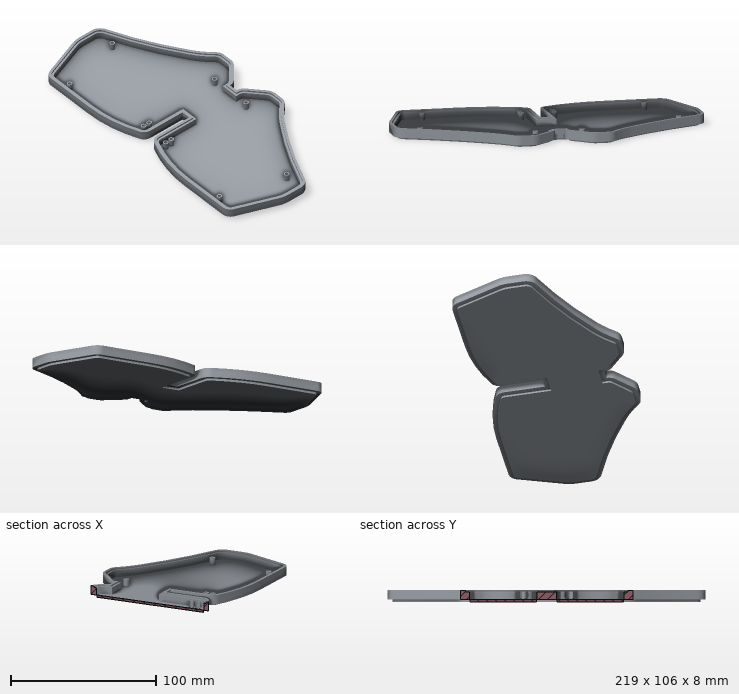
import cadquery as cq

TOTAL_HEIGHT = 8.0
PLATE_THICKNESS = 2.0
RING_BASE = 1.5
LIP_DEPTH = 1.0
POST_TOP = 7.0

LIP_WIDTH = 2.0
WALL_WIDTH = 3.5

POST_DIAMETER = 4.0
POST_BORE = 2.5
TWIN_SPACING = 5.0
TWIN_POST = (11.5, 16.2)

HALF_LENGTH = 109.5
DEPTH = 106.0
SLOT_HALF_WIDTH = 3.5
SLOT_TOP = 44.6
NOTCH_FLOOR = 88.0

SLOT_MOUTH = (SLOT_HALF_WIDTH, 11.2)
BELLY_MIDDLE = (26.3, 2.8)
BELLY_END = (50.5, 0.0)
FRONT_CORNER = (94.5, 0.0)
SIDE_CORNER = (HALF_LENGTH, 39.2)
REAR_CORNER = (HALF_LENGTH, 60.2)
FLANK_MIDDLE = (76.5, 75.3)
FLANK_END = (49.5, 91.7)
NECK_MIDDLE = (41.4, 98.0)
PEAK_OUTER = (34.0, DEPTH)
PEAK_INNER = (20.0, DEPTH)
NOTCH_MOUTH = (SLOT_HALF_WIDTH, 91.5)

ROUNDED_CORNERS = [
    (SLOT_MOUTH, 7.0),
    (FRONT_CORNER, 7.0),
    (SIDE_CORNER, 23.0),
    (REAR_CORNER, 8.8),
    (PEAK_OUTER, 7.5),
    (PEAK_INNER, 8.8),
    (NOTCH_MOUTH, 7.7),
]

POSTS = [
    (16.5, 85.4),
    (91.3, 57.1),
    (78.4, 7.0),
    TWIN_POST,
    (TWIN_POST[0], TWIN_POST[1] + TWIN_SPACING),
]


def mirrored(point):
    return (-point[0], point[1])


def sharp_outline():
    """Outer outline with every corner still sharp, run counter-clockwise."""
    return (
        cq.Workplane("XY")
        .moveTo(SLOT_HALF_WIDTH, SLOT_TOP)
        .lineTo(*SLOT_MOUTH)
        .threePointArc(BELLY_MIDDLE, BELLY_END)
        .lineTo(*FRONT_CORNER)
        .lineTo(*SIDE_CORNER)
        .lineTo(*REAR_CORNER)
        .threePointArc(FLANK_MIDDLE, FLANK_END)
        .threePointArc(NECK_MIDDLE, PEAK_OUTER)
        .lineTo(*PEAK_INNER)
        .lineTo(*NOTCH_MOUTH)
        .lineTo(SLOT_HALF_WIDTH, NOTCH_FLOOR)
        .lineTo(-SLOT_HALF_WIDTH, NOTCH_FLOOR)
        .lineTo(*mirrored(NOTCH_MOUTH))
        .lineTo(*mirrored(PEAK_INNER))
        .lineTo(*mirrored(PEAK_OUTER))
        .threePointArc(mirrored(NECK_MIDDLE), mirrored(FLANK_END))
        .threePointArc(mirrored(FLANK_MIDDLE), mirrored(REAR_CORNER))
        .lineTo(*mirrored(SIDE_CORNER))
        .lineTo(*mirrored(FRONT_CORNER))
        .lineTo(*mirrored(BELLY_END))
        .threePointArc(mirrored(BELLY_MIDDLE), mirrored(SLOT_MOUTH))
        .lineTo(-SLOT_HALF_WIDTH, SLOT_TOP)
        .close()
        .val()
    )


def rounded_outline():
    """Outer outline with its corners rounded."""
    face = cq.Face.makeFromWires(sharp_outline())
    for corner, radius in ROUNDED_CORNERS:
        for point in (corner, mirrored(corner)):
            target = cq.Vector(*point)
            vertex = min(face.Vertices(), key=lambda v: (v.Center() - target).Length)
            face = face.fillet2D(radius, [vertex])
    return face.outerWire()


OUTLINE = rounded_outline()


def slab(inset, bottom, top):
    """Solid between two heights, its side moved inward from the outer outline."""
    wire = OUTLINE.offset2D(-inset, "intersection")[0] if inset else OUTLINE
    slab_height = top - bottom
    return cq.Workplane("XY").add(wire).toPending().extrude(slab_height).translate((0, 0, bottom))


def make_ring():
    """Wall ring with a raised outer lip and a lower inner shoulder."""
    shoulder_height = TOTAL_HEIGHT - LIP_DEPTH
    ring = slab(0, RING_BASE, TOTAL_HEIGHT)
    ring = ring.cut(slab(WALL_WIDTH, RING_BASE, TOTAL_HEIGHT))
    return ring.cut(slab(LIP_WIDTH, shoulder_height, TOTAL_HEIGHT))


def make_plate():
    """Bottom plate that fills the ring, with hollow screw posts."""
    centers = POSTS + [mirrored(post) for post in POSTS]
    plate = slab(WALL_WIDTH, 0, PLATE_THICKNESS)
    posts = (
        cq.Workplane("XY", origin=(0, 0, PLATE_THICKNESS))
        .pushPoints(centers)
        .circle(POST_DIAMETER / 2)
        .circle(POST_BORE / 2)
        .extrude(POST_TOP - PLATE_THICKNESS)
    )
    return plate.union(posts)


ring = make_ring()
plate = make_plate()

result = cq.Compound.makeCompound([ring.val(), plate.val()])